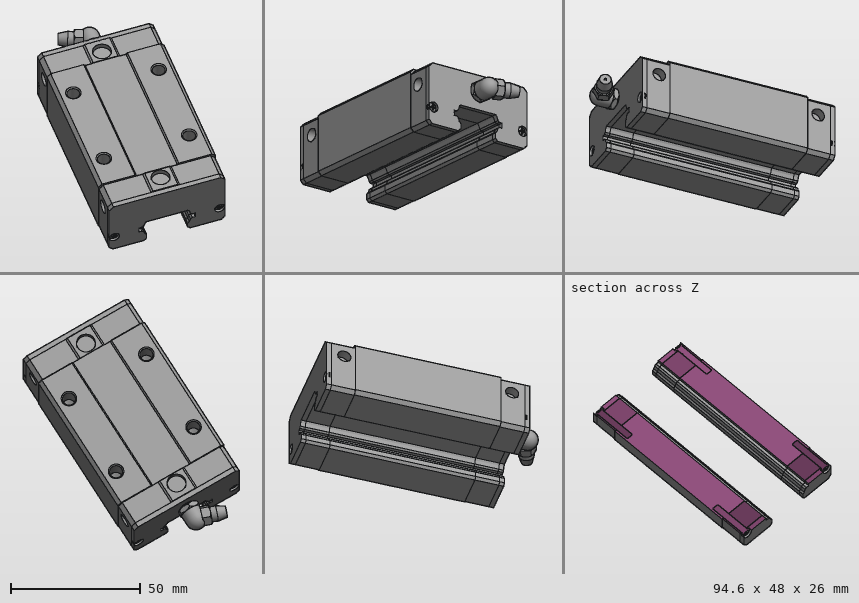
import cadquery as cq
import math


total_length = 82.4
block_length = 59.0
block_width = 48.0
block_height = 26.0
block_chamfer = 1.5
seal_thickness = 2.0

end_width = 47.5
end_height = 25.2
end_top_chamfer = 1.75
bottom_chamfer = 1.5

block_end_x = block_length / 2
seal_outer_x = total_length / 2
cap_outer_x = seal_outer_x - seal_thickness

channel_top_z = 10.85
lip_half_width = 8.4
lip_chamfer = 1.0
lip_top_z = 3.25
channel_roof_half_width = 8.5
groove_z = 7.0
groove_half_width = 11.55
groove_half_height = 1.05
neck_half_width = 9.1
neck_offset_z = 3.0
shoulder_half_width = 9.6
shoulder_offset_z = 1.65
groove_mouth_half_width = 10.3

relief_width = 17.9
relief_depth = 0.6

mount_spacing = 35.0
mount_hole_diameter = 5.0
mount_mouth_diameter = 6.0
mount_hole_depth = 8.0
drill_point_angle = 118.0

pad_width = 10.2
pad_base_width = 11.7
pad_top_z = 25.7
top_port_x = 33.65
top_port_diameter = 7.3
top_port_depth = 2.0
side_port_x = 34.0
side_port_z = 18.0
side_port_diameter = 5.3
side_port_depth = 3.7

screw_y = 21.6
screw_z = 7.0
screw_pocket_diameter = 4.1
screw_pocket_depth = 1.5
screw_head_diameter = 4.1
screw_rim_height = 0.4
screw_head_height = 1.2
screw_slot_length = 2.0
screw_slot_width = 0.5
screw_slot_depth = 0.7
screw_shank_diameter = 2.5
screw_grip_in_block = 6.0

nipple_z = 18.0
stem_diameter = 6.0
stem_gap = 0.6
base_hex_flats = 8.0
base_hex_length = 2.2
body_diameter = 8.0
body_dome_distance = 6.8
nozzle_bend_distance = 5.81
nozzle_angle = 20.0
nozzle_hex_flats = 7.0
nozzle_hex_start = 2.7
nozzle_hex_end = 6.3
nozzle_collar_radius = 2.9
nozzle_widest_radius = 3.1
nozzle_widest_distance = 8.7
nozzle_tip_radius = 2.25
nozzle_tip_distance = 12.5
nozzle_bore_diameter = 0.9
nozzle_bore_depth = 3.0


def extrude_along_x(outline, x_start, x_end):
    """Closed outline of (y, z) points drawn out from x_start to x_end."""
    plane = cq.Workplane("YZ", origin=(x_start, 0, 0))
    return plane.polyline(outline).close().extrude(x_end - x_start)


def cylinder_along_x(diameter, x_start, x_end, y, z):
    plane = cq.Workplane("YZ", origin=(x_start, y, z))
    return plane.circle(diameter / 2).extrude(x_end - x_start)


def mirrored_outline(half):
    """Full outline from its +Y half, listed from the bottom up."""
    return half + [(-y, z) for y, z in reversed(half)]


def chamfered_outline(width, height, top_chamfer):
    half_width = width / 2
    return mirrored_outline([
        (half_width - bottom_chamfer, 0),
        (half_width, bottom_chamfer),
        (half_width, height - top_chamfer),
        (half_width - top_chamfer, height),
    ])


def channel_outline():
    return mirrored_outline([
        (lip_half_width + lip_chamfer, 0),
        (lip_half_width, lip_chamfer),
        (lip_half_width, lip_top_z),
        (neck_half_width, groove_z - neck_offset_z),
        (shoulder_half_width, groove_z - shoulder_offset_z),
        (groove_mouth_half_width, groove_z - groove_half_height),
        (groove_half_width, groove_z - groove_half_height),
        (groove_half_width, groove_z + groove_half_height),
        (groove_mouth_half_width, groove_z + groove_half_height),
        (shoulder_half_width, groove_z + shoulder_offset_z),
        (neck_half_width, groove_z + neck_offset_z),
        (channel_roof_half_width, channel_top_z),
    ])


def cut_channel(body):
    return body.cut(extrude_along_x(channel_outline(), -total_length, total_length))


def cut_screw_shanks(body):
    """Holes for the four screw shanks, two at each end."""
    inner_x = block_end_x - screw_grip_in_block
    for side in (-1, 1):
        for end in (-1, 1):
            shank_hole = cylinder_along_x(
                screw_shank_diameter, end * inner_x, end * seal_outer_x, side * screw_y, screw_z
            )
            body = body.cut(shank_hole)
    return body


def make_mount_hole(x, y):
    """Chamfered blind hole with a conical drill point, as a cutting body."""
    hole_radius = mount_hole_diameter / 2
    mouth_radius = mount_mouth_diameter / 2
    point_length = hole_radius / math.tan(math.radians(drill_point_angle / 2))
    half_section = [
        (0, 0),
        (mouth_radius, 0),
        (hole_radius, hole_radius - mouth_radius),
        (hole_radius, -mount_hole_depth),
        (0, -mount_hole_depth - point_length),
    ]
    plane = cq.Workplane("XZ", origin=(x, y, block_height))
    return plane.polyline(half_section).close().revolve(360, (0, 0), (0, 1))


def make_block():
    outline = chamfered_outline(block_width, block_height, block_chamfer)
    block = extrude_along_x(outline, -block_end_x, block_end_x)
    block = cut_channel(block)
    relief_half = relief_width / 2
    floor_half = relief_half - relief_depth
    relief_outline = mirrored_outline([
        (floor_half, block_height - relief_depth),
        (relief_half, block_height),
    ])
    block = block.cut(extrude_along_x(relief_outline, -block_end_x, block_end_x))
    for x in (-mount_spacing / 2, mount_spacing / 2):
        for y in (-mount_spacing / 2, mount_spacing / 2):
            block = block.cut(make_mount_hole(x, y))
    return cut_screw_shanks(block)


def make_end_cap(end):
    """End cap at the -X end (end = -1) or the +X end (end = 1)."""
    inner_x = end * block_end_x
    outer_x = end * cap_outer_x
    cap = extrude_along_x(chamfered_outline(end_width, end_height, end_top_chamfer), inner_x, outer_x)
    cap = cut_channel(cap)
    pad_outline = mirrored_outline([
        (pad_base_width / 2, end_height),
        (pad_width / 2, pad_top_z),
    ])
    cap = cap.union(extrude_along_x(pad_outline, inner_x, outer_x))
    top_port = (
        cq.Workplane("XY", origin=(end * top_port_x, 0, pad_top_z))
        .circle(top_port_diameter / 2)
        .extrude(-top_port_depth)
    )
    cap = cap.cut(top_port)
    for side in (-1, 1):
        side_port = (
            cq.Workplane("XZ", origin=(end * side_port_x, side * end_width / 2, side_port_z))
            .circle(side_port_diameter / 2)
            .extrude(side * side_port_depth)
        )
        cap = cap.cut(side_port)
    return cut_screw_shanks(cap)


def make_end_seal(end):
    outer_x = end * seal_outer_x
    outline = chamfered_outline(end_width, end_height, end_top_chamfer)
    seal = extrude_along_x(outline, end * cap_outer_x, outer_x)
    seal = cut_screw_shanks(cut_channel(seal))
    pocket_floor_x = end * (seal_outer_x - screw_pocket_depth)
    for side in (-1, 1):
        pocket = cylinder_along_x(screw_pocket_diameter, pocket_floor_x, outer_x, side * screw_y, screw_z)
        seal = seal.cut(pocket)
    return seal


def make_screw(end, side):
    """Domed cross-slot screw seated on the floor of its pocket."""
    seat_x = seal_outer_x - screw_pocket_depth
    shank_length = seat_x - (block_end_x - screw_grip_in_block)
    head_radius = screw_head_diameter / 2
    shank_radius = screw_shank_diameter / 2
    dome_rise = screw_head_height - screw_rim_height
    dome_radius = (head_radius**2 + dome_rise**2) / (2 * dome_rise)
    half_angle = math.asin(head_radius / dome_radius) / 2
    dome_mid = (
        dome_radius * math.sin(half_angle),
        screw_head_height - dome_radius * (1 - math.cos(half_angle)),
    )
    screw = (
        cq.Workplane("XZ")
        .moveTo(0, -shank_length)
        .lineTo(shank_radius, -shank_length)
        .lineTo(shank_radius, 0)
        .lineTo(head_radius, 0)
        .lineTo(head_radius, screw_rim_height)
        .threePointArc(dome_mid, (0, screw_head_height))
        .close()
        .revolve(360, (0, 0), (0, 1))
    )
    slot_floor = cq.Workplane("XY", origin=(0, 0, screw_head_height - screw_slot_depth))
    screw = screw.cut(slot_floor.rect(screw_slot_length, screw_slot_width).extrude(screw_slot_depth))
    screw = screw.cut(slot_floor.rect(screw_slot_width, screw_slot_length).extrude(screw_slot_depth))
    screw = screw.rotate((0, 0, 0), (0, 1, 0), end * 90)
    return screw.translate((end * seat_x, side * screw_y, screw_z))


def hex_prism(plane, flats, start, end, chamfer_start):
    """Hexagon along the plane's normal with its far corners cut; the near ones only if asked."""
    corners = flats / math.cos(math.pi / 6)
    corner_cut = (corners - flats) / 2
    prism = cq.Workplane(plane).workplane(offset=start).polygon(6, corners).extrude(end - start)
    envelope = cq.Workplane(plane).workplane(offset=start).circle(corners / 2).extrude(end - start)
    if chamfer_start:
        envelope = envelope.faces(cq.selectors.DirectionMinMaxSelector(plane.zDir, False)).chamfer(corner_cut)
    envelope = envelope.faces(cq.selectors.DirectionMinMaxSelector(plane.zDir, True)).chamfer(corner_cut)
    return prism.intersect(envelope)


def make_nipple():
    """Grease nipple on the -X seal; its nozzle points away from the seal and toward -Y."""
    seal_face = cq.Plane(origin=(-seal_outer_x, 0, nipple_z), xDir=(0, 0, 1), normal=(-1, 0, 0))
    stem = cq.Workplane(seal_face).workplane(offset=-seal_thickness).circle(stem_diameter / 2)
    nipple = stem.extrude(seal_thickness + stem_gap)
    base_hex_end = stem_gap + base_hex_length
    nipple = nipple.union(hex_prism(seal_face, base_hex_flats, stem_gap, base_hex_end, True))

    body_radius = body_diameter / 2
    diagonal = body_radius * math.sqrt(0.5)
    body = (
        cq.Workplane("XZ")
        .moveTo(0, stem_gap)
        .lineTo(body_radius, stem_gap)
        .lineTo(body_radius, body_dome_distance)
        .threePointArc((diagonal, body_dome_distance + diagonal), (0, body_dome_distance + body_radius))
        .close()
        .revolve(360, (0, 0), (0, 1))
        .rotate((0, 0, 0), (0, 1, 0), -90)
        .translate((-seal_outer_x, 0, nipple_z))
    )
    nipple = nipple.union(body)

    angle = math.radians(nozzle_angle)
    nozzle_base = cq.Plane(
        origin=(-seal_outer_x - nozzle_bend_distance, 0, nipple_z),
        xDir=(math.cos(angle), -math.sin(angle), 0),
        normal=(-math.sin(angle), -math.cos(angle), 0),
    )
    nipple = nipple.union(hex_prism(nozzle_base, nozzle_hex_flats, nozzle_hex_start, nozzle_hex_end, False))
    tip_section = [
        (0, nozzle_hex_start),
        (nozzle_collar_radius, nozzle_hex_start),
        (nozzle_collar_radius, nozzle_hex_end),
        (nozzle_widest_radius, nozzle_widest_distance),
        (nozzle_tip_radius, nozzle_tip_distance),
        (nozzle_bore_diameter / 2, nozzle_tip_distance),
        (nozzle_bore_diameter / 2, nozzle_tip_distance - nozzle_bore_depth),
        (0, nozzle_tip_distance - nozzle_bore_depth),
    ]
    section_plane = cq.Plane(
        origin=nozzle_base.origin,
        xDir=nozzle_base.xDir,
        normal=nozzle_base.xDir.cross(nozzle_base.zDir),
    )
    tip = cq.Workplane(section_plane).polyline(tip_section).close().revolve(360, (0, 0), (0, 1))
    return nipple.union(tip)


def cut_nipple_stem(seal):
    return seal.cut(cylinder_along_x(stem_diameter, -seal_outer_x, -cap_outer_x, 0, nipple_z))


block = make_block()
end_caps = [make_end_cap(end) for end in (-1, 1)]
nipple_seal = cut_nipple_stem(make_end_seal(-1))
plain_seal = make_end_seal(1)
screws = [make_screw(end, side) for end in (-1, 1) for side in (-1, 1)]
nipple = make_nipple()

result = cq.Compound.makeCompound([
    block.val(),
    *[cap.val() for cap in end_caps],
    nipple_seal.val(),
    plain_seal.val(),
    *[screw.val() for screw in screws],
    nipple.val(),
])